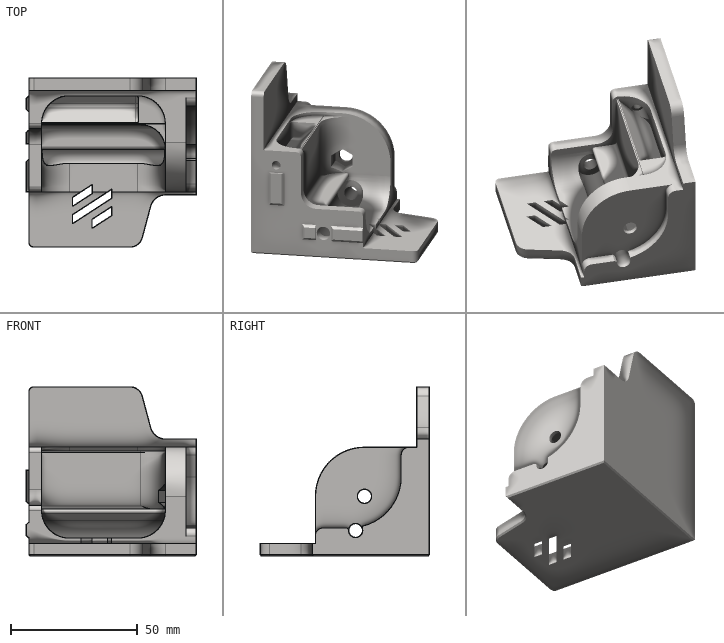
import cadquery as cq
import math


LENGTH = 66.0
FLANGE_REACH = 66.7
FLANGE_THICKNESS = 5.0
FLANGE_LOW_REACH = 46.15
FLANGE_SLOPE_TOP_X = 43.75
FLANGE_SLOPE_FOOT_X = 49.25
FLANGE_CORNER_RADIUS = 2
FLANGE_SHOULDER_RADIUS = 5.0
FLANGE_FOOT_RADIUS = 6
BOTTOM_CHAMFER = 0.6
BODY_DEPTH = 44.95
BODY_HEIGHT = 42.95
NOSE_RADIUS = 19.35
NOSE_DEPTH = BODY_DEPTH - NOSE_RADIUS
NOSE_Z = BODY_HEIGHT - NOSE_RADIUS

RIM_X = 62.0
RIM_EDGE_RADIUS = 3.1
RIM_TOP_DEPTH = 11.1
RIM_FRONT_HEIGHT = 11.1
RIM_HOLLOW_RADIUS = 20.0
RIM_HOLLOW_DEPTH = RIM_TOP_DEPTH + RIM_HOLLOW_RADIUS
RIM_HOLLOW_Z = 31.3
RIM_BEVEL_LENGTH = 0.9
RIM_BEVEL_DROP = 0.6

POCKET_LEFT = 5.0
POCKET_RIGHT = 53.8
POCKET_WALL = 7.1
POCKET_RADIUS = 11.0
LEDGE_Z = 41.5
POCKET_LENGTH = POCKET_RIGHT - POCKET_LEFT

CAVITY_BACK = 18.5
CAVITY_CORNER_RADIUS = 9.7
SHELF_Z = 18.5
SHELF_ROOT_RADIUS = 1.35
SHELF_LIP_RADIUS = 1.0
CHANNEL_DEPTH = 29.1
CHANNEL_Z = 10.1
CHANNEL_RADIUS = 11.0 / 2

WIRE_HOLE_DIAMETER = 3.5
WIRE_BORE_DIAMETER = 5.5
WIRE_HOLE_DEPTH = 10.05
WIRE_HOLE_Z = 37.05
TROUGH_RIGHT = 43.3
TROUGH_FRONT = 17.7
TROUGH_BEND_RADIUS = WIRE_BORE_DIAMETER / 2
TROUGH_FLOOR = WIRE_HOLE_Z - TROUGH_BEND_RADIUS
TROUGH_END_RADIUS = 1.2

SLIT_BACK = 17.95
SLIT_WIDTH = 0.3
SLIT_DROP = 0.7

STEP_CORNER = 20.0
STEP_INNER_RADIUS = 6.15
STEP_OUTER_RADIUS = 2

CHANNEL_BOLT_DIAMETER = 5.4
NOSE_BOLT_DIAMETER = 5.5
NUT_WIDTH = 8.2
NUT_SEAT_X = 60.3

KEY_HEIGHT = 1.0
KEY_NEAR = 7.1
KEY_FAR = 13.4
UPRIGHT_KEY_BOTTOM = 20.6
UPRIGHT_KEY_TOP = 33.9
SHORT_KEY_BACK = 20.6
SHORT_KEY_FRONT = 26.0
LONG_KEY_BACK = 32.1

SLOT_LEFT = 17.3
SLOT_MIDDLE = 25.0
SLOT_RIGHT = 32.6
SLOT_SLOPE = 0.65
SLOT_WIDTH = 3.5
SLOT_PITCH = 6.85
FIRST_SLOT_DEPTH = 47.1

COS_45 = math.cos(math.radians(45))


def box(x_range, depth_range, z_range):
    """Block between pairs of x, depth and z limits."""
    (x0, x1), (d0, d1), (z0, z1) = x_range, depth_range, z_range
    return cq.Workplane("XY").box(x1 - x0, d1 - d0, z1 - z0, centered=False).translate((x0, -d1, z0))


def side_plane(x):
    """Plane across the part at x; its coordinates are (-depth, z)."""
    return cq.Workplane("YZ", origin=(x, 0, 0))


def cross_bar(x0, x1, depth, z, diameter):
    """Cylinder along X."""
    return side_plane(x0).center(-depth, z).circle(diameter / 2).extrude(x1 - x0)


def flange_outline(plane):
    """Flange plate drawn flat, with its reach along the plane's second axis."""
    return (
        plane.polyline([
            (0, 0),
            (LENGTH, 0),
            (LENGTH, FLANGE_LOW_REACH),
            (FLANGE_SLOPE_FOOT_X, FLANGE_LOW_REACH),
            (FLANGE_SLOPE_TOP_X, FLANGE_REACH),
            (0, FLANGE_REACH),
        ])
        .close()
        .extrude(FLANGE_THICKNESS)
    )


def round_flange(plate, axis, corner):
    """Round the free corners of a flange; corner(x, reach) places a point on it."""
    rounds = [
        (0, FLANGE_REACH, FLANGE_CORNER_RADIUS),
        (FLANGE_SLOPE_TOP_X, FLANGE_REACH, FLANGE_SHOULDER_RADIUS),
        (FLANGE_SLOPE_FOOT_X, FLANGE_LOW_REACH, FLANGE_FOOT_RADIUS),
    ]
    for x, reach, radius in rounds:
        nearest = cq.selectors.NearestToPointSelector(corner(x, reach))
        plate = plate.edges(axis).edges(nearest).fillet(radius)
    return plate


def make_back_flange():
    plate = flange_outline(cq.Workplane("XZ"))
    return round_flange(plate, "|Y", lambda x, reach: (x, -FLANGE_THICKNESS / 2, reach))


def make_bottom_flange():
    plane = cq.Workplane(cq.Plane((0, 0, FLANGE_THICKNESS), (1, 0, 0), (0, 0, -1)))
    plate = flange_outline(plane)
    return round_flange(plate, "|Z", lambda x, reach: (x, -reach, FLANGE_THICKNESS / 2))


def make_body():
    nose_mid = (-NOSE_DEPTH - NOSE_RADIUS * COS_45, NOSE_Z + NOSE_RADIUS * COS_45)
    return (
        side_plane(0)
        .lineTo(-BODY_DEPTH, 0)
        .lineTo(-BODY_DEPTH, NOSE_Z)
        .threePointArc(nose_mid, (-NOSE_DEPTH, BODY_HEIGHT))
        .lineTo(0, BODY_HEIGHT)
        .close()
        .extrude(RIM_X)
    )


def make_rim():
    """End rim; the slot over the bolt hole cuts away the foot of its hollow."""
    hole_radius = CHANNEL_BOLT_DIAMETER / 2
    foot_depth = CHANNEL_DEPTH - hole_radius
    foot_angle = math.acos((RIM_HOLLOW_DEPTH - foot_depth) / RIM_HOLLOW_RADIUS)

    def on_hollow(angle):
        return (
            -RIM_HOLLOW_DEPTH + RIM_HOLLOW_RADIUS * math.cos(angle),
            RIM_HOLLOW_Z - RIM_HOLLOW_RADIUS * math.sin(angle),
        )

    bevel_depth = CHANNEL_DEPTH + hole_radius
    bevel_z = RIM_FRONT_HEIGHT - RIM_BEVEL_DROP
    edge_sag = RIM_EDGE_RADIUS * (1 - COS_45)
    rim = (
        side_plane(RIM_X)
        .lineTo(-BODY_DEPTH, 0)
        .lineTo(-BODY_DEPTH, RIM_FRONT_HEIGHT - RIM_EDGE_RADIUS)
        .threePointArc(
            (-BODY_DEPTH + edge_sag, RIM_FRONT_HEIGHT - edge_sag),
            (-BODY_DEPTH + RIM_EDGE_RADIUS, RIM_FRONT_HEIGHT),
        )
        .lineTo(-bevel_depth - RIM_BEVEL_LENGTH, RIM_FRONT_HEIGHT)
        .lineTo(-bevel_depth, bevel_z)
        .lineTo(*on_hollow(foot_angle))
        .threePointArc(on_hollow(foot_angle / 2), on_hollow(0))
        .lineTo(-RIM_TOP_DEPTH, BODY_HEIGHT - RIM_EDGE_RADIUS)
        .threePointArc(
            (-RIM_TOP_DEPTH + edge_sag, BODY_HEIGHT - edge_sag),
            (-RIM_TOP_DEPTH + RIM_EDGE_RADIUS, BODY_HEIGHT),
        )
        .lineTo(0, BODY_HEIGHT)
        .close()
        .extrude(LENGTH - RIM_X)
    )
    slot = box((RIM_X, LENGTH), (foot_depth, bevel_depth), (CHANNEL_Z, RIM_HOLLOW_Z))
    return rim.cut(slot)


def make_top_pocket():
    """Opening in the top, rounded at its two back corners."""
    opening = box((POCKET_LEFT, POCKET_RIGHT), (POCKET_WALL, BODY_DEPTH), (0, BODY_HEIGHT))
    return opening.edges("|Z and >Y").fillet(POCKET_RADIUS)


def make_front_pocket():
    """Opening in the front, rounded at its two lower corners."""
    opening = box((POCKET_LEFT, POCKET_RIGHT), (0, BODY_DEPTH), (POCKET_WALL, BODY_HEIGHT))
    return opening.edges("|Y and <Z").fillet(POCKET_RADIUS)


def make_cavity():
    """Main cavity: upright back wall, shelf, 45-degree underside and open front."""
    underside_depth = CHANNEL_DEPTH - CHANNEL_RADIUS * COS_45
    underside_z = CHANNEL_Z + CHANNEL_RADIUS * COS_45
    shelf_tip = underside_depth + SHELF_Z - underside_z
    space = (
        side_plane(POCKET_LEFT)
        .polyline([
            (-CAVITY_BACK, LEDGE_Z),
            (-CAVITY_BACK, SHELF_Z),
            (-shelf_tip, SHELF_Z),
            (-underside_depth, underside_z),
            (-CHANNEL_DEPTH, CHANNEL_Z),
            (-CHANNEL_DEPTH, POCKET_WALL),
            (-BODY_DEPTH, POCKET_WALL),
            (-BODY_DEPTH, LEDGE_Z),
        ])
        .close()
        .extrude(POCKET_LENGTH)
    )

    def along(depth, z):
        return cq.selectors.NearestToPointSelector((POCKET_LEFT + POCKET_LENGTH / 2, -depth, z))

    space = space.edges("|X").edges(along(shelf_tip, SHELF_Z)).fillet(SHELF_LIP_RADIUS)
    space = space.edges("|X").edges(along(CAVITY_BACK, SHELF_Z)).fillet(SHELF_ROOT_RADIUS)

    corner_limit = box((POCKET_LEFT, POCKET_RIGHT), (CAVITY_BACK, BODY_DEPTH), (SHELF_Z, LEDGE_Z))
    corner_limit = corner_limit.edges("|Z and >Y and >X").fillet(CAVITY_CORNER_RADIUS)
    below_shelf = box((POCKET_LEFT, POCKET_RIGHT), (0, BODY_DEPTH), (0, SHELF_Z))
    rounded = corner_limit.union(below_shelf)
    return space.intersect(rounded).intersect(make_front_pocket())


def make_trough():
    """Trough behind the cavity wall, with a flat floor bending up into a 45-degree slope."""
    slope_foot = WIRE_HOLE_DEPTH + TROUGH_BEND_RADIUS * math.tan(math.radians(22.5))
    slope_top = TROUGH_FLOOR + TROUGH_FRONT - slope_foot
    trough = (
        side_plane(POCKET_LEFT)
        .polyline([
            (-POCKET_WALL, LEDGE_Z),
            (-POCKET_WALL, TROUGH_FLOOR),
            (-slope_foot, TROUGH_FLOOR),
            (-TROUGH_FRONT, slope_top),
            (-TROUGH_FRONT, LEDGE_Z),
        ])
        .close()
        .extrude(TROUGH_RIGHT - POCKET_LEFT)
    )
    bend = cq.selectors.NearestToPointSelector((POCKET_LEFT, -slope_foot, TROUGH_FLOOR))
    trough = trough.edges("|X").edges(bend).fillet(TROUGH_BEND_RADIUS)
    trough = trough.faces(">X").edges("not >Z").edges("not <Y").fillet(TROUGH_END_RADIUS)
    return trough.intersect(make_top_pocket())


def make_step():
    """Space above the step in the left wall, with rounded edges where it leaves the body."""
    top = BODY_HEIGHT - STEP_OUTER_RADIUS
    front = BODY_DEPTH - STEP_OUTER_RADIUS
    sag = STEP_OUTER_RADIUS * (1 - COS_45)
    inner_end = STEP_CORNER + STEP_INNER_RADIUS
    inner_mid = STEP_CORNER + STEP_INNER_RADIUS * (1 - COS_45)
    return (
        side_plane(0)
        .moveTo(-STEP_CORNER + STEP_OUTER_RADIUS, BODY_HEIGHT)
        .threePointArc((-STEP_CORNER + sag, BODY_HEIGHT - sag), (-STEP_CORNER, top))
        .lineTo(-STEP_CORNER, inner_end)
        .threePointArc((-inner_mid, inner_mid), (-inner_end, STEP_CORNER))
        .lineTo(-front, STEP_CORNER)
        .threePointArc(
            (-BODY_DEPTH + sag, STEP_CORNER - sag),
            (-BODY_DEPTH, STEP_CORNER - STEP_OUTER_RADIUS),
        )
        .lineTo(-BODY_DEPTH, BODY_HEIGHT)
        .close()
        .extrude(POCKET_LEFT)
    )


def make_nut_seat():
    """Hexagonal seat, point up, in the inner face of the right wall."""
    corner_radius = NUT_WIDTH / math.sqrt(3)
    start = POCKET_RIGHT - CAVITY_CORNER_RADIUS
    return (
        side_plane(start)
        .center(-NOSE_DEPTH, NOSE_Z)
        .transformed(rotate=(0, 0, 90))
        .polygon(6, 2 * corner_radius)
        .extrude(NUT_SEAT_X - start)
    )


def make_key(back, front, bottom, top, front_bevel, top_bevel):
    """Raised key on the left face, always bevelled along its back and bottom sides."""
    crown_back = back + KEY_HEIGHT
    crown_bottom = bottom + KEY_HEIGHT

    def rectangle(plane, depth_0, depth_1, z_0, z_1):
        middle = plane.center(-(depth_0 + depth_1) / 2, (z_0 + z_1) / 2)
        return middle.rect(depth_1 - depth_0, z_1 - z_0).vals()[0]

    base = rectangle(side_plane(0), back, front, bottom, top)
    crown = rectangle(side_plane(-KEY_HEIGHT), crown_back, front - front_bevel, crown_bottom, top - top_bevel)
    return cq.Workplane(cq.Solid.makeLoft([base, crown], True))


def make_slanted_slot(index, x0, x1):
    """One slanted slot through the bottom flange; depth falls as x grows."""
    near = FIRST_SLOT_DEPTH + index * SLOT_PITCH
    near_0 = near - SLOT_SLOPE * (x0 - SLOT_LEFT)
    near_1 = near - SLOT_SLOPE * (x1 - SLOT_LEFT)
    return (
        cq.Workplane("XY")
        .polyline([(x0, -near_0), (x1, -near_1), (x1, -near_1 - SLOT_WIDTH), (x0, -near_0 - SLOT_WIDTH)])
        .close()
        .extrude(POCKET_WALL)
    )


part = make_body().union(make_rim()).union(make_back_flange()).union(make_bottom_flange())
part = part.faces("<Z").edges().chamfer(BOTTOM_CHAMFER)

ledge_cut = make_top_pocket().intersect(box((0, LENGTH), (0, BODY_DEPTH), (LEDGE_Z, BODY_HEIGHT)))
channel = cross_bar(POCKET_LEFT, POCKET_RIGHT, CHANNEL_DEPTH, CHANNEL_Z, 2 * CHANNEL_RADIUS)
slit = box(
    (POCKET_LEFT, POCKET_RIGHT),
    (SLIT_BACK, SLIT_BACK + SLIT_WIDTH),
    (LEDGE_Z - SLIT_DROP, LEDGE_Z),
)
for space in (ledge_cut, make_cavity(), channel, make_trough(), slit, make_step()):
    part = part.cut(space)

part = part.cut(cross_bar(0, LENGTH, CHANNEL_DEPTH, CHANNEL_Z, CHANNEL_BOLT_DIAMETER))
part = part.cut(cross_bar(POCKET_RIGHT, LENGTH, NOSE_DEPTH, NOSE_Z, NOSE_BOLT_DIAMETER))
part = part.cut(cross_bar(0, POCKET_LEFT, WIRE_HOLE_DEPTH, WIRE_HOLE_Z, WIRE_HOLE_DIAMETER))
bore_end = POCKET_LEFT + POCKET_RADIUS
part = part.cut(cross_bar(POCKET_LEFT, bore_end, WIRE_HOLE_DEPTH, WIRE_HOLE_Z, WIRE_BORE_DIAMETER))
part = part.cut(make_nut_seat())

for index, x0, x1 in (
    (0, SLOT_LEFT, SLOT_MIDDLE),
    (1, SLOT_LEFT, SLOT_RIGHT),
    (2, SLOT_MIDDLE, SLOT_RIGHT),
):
    part = part.cut(make_slanted_slot(index, x0, x1))

keys = (
    make_key(KEY_NEAR, KEY_FAR, UPRIGHT_KEY_BOTTOM, UPRIGHT_KEY_TOP, KEY_HEIGHT, 0),
    make_key(SHORT_KEY_BACK, SHORT_KEY_FRONT, KEY_NEAR, KEY_FAR, 0, KEY_HEIGHT),
    make_key(LONG_KEY_BACK, BODY_DEPTH, KEY_NEAR, KEY_FAR, 0, KEY_HEIGHT),
)
for key in keys:
    part = part.union(key)

result = part